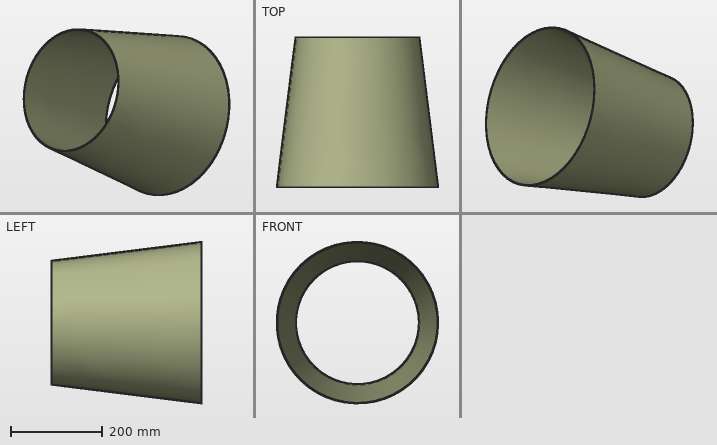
import cadquery as cq

large_diameter = 355.6
small_diameter = 273.0
length = 330.0
wall = 2.0

large_radius = large_diameter / 2
small_radius = small_diameter / 2


def make_reducer():
    """Revolve the sloped wall section about Y, large end at Y = 0."""
    wall_section = (
        cq.Workplane("XY")
        .moveTo(large_radius - wall, 0)
        .lineTo(large_radius, 0)
        .lineTo(small_radius, length)
        .lineTo(small_radius - wall, length)
        .close()
    )
    return wall_section.revolve(360, (0, 0, 0), (0, 1, 0))


result = make_reducer()